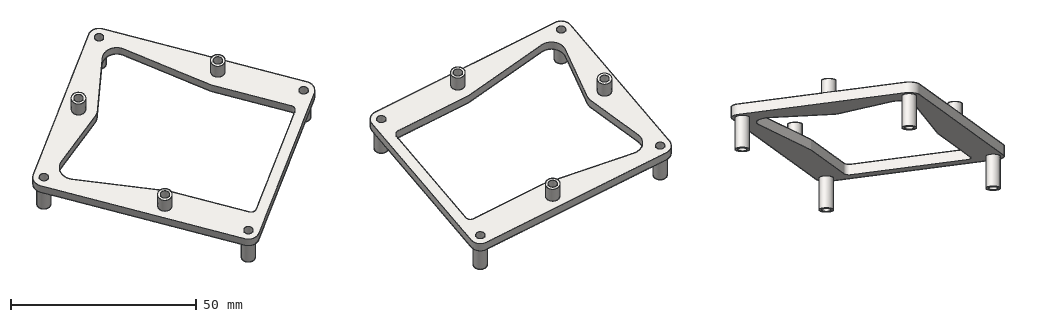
import cadquery as cq

length = 64.0
width = 55.0
thickness = 3.0
corner_radius = 3.0

post_diameter = 4.0
bore_diameter = 2.5
leg_height = 9.0
standoff_height = 5.0
leg_inset = corner_radius
side_standoff_x = 5.0
side_standoff_inset = 4.0
end_standoff_inset = 5.0

window_right_x = 28.85
window_half_width = 18.55
window_bend_x = 4.7
window_left_corner = (-27.45, 23.75)
window_waist_x = -21.75
left_corner_radius = 4.0
right_corner_radius = 1.5

leg_x = length / 2 - leg_inset
leg_y = width / 2 - leg_inset
leg_points = [(x, y) for x in (-leg_x, leg_x) for y in (-leg_y, leg_y)]

side_standoff_y = width / 2 - side_standoff_inset
standoff_points = [
    (side_standoff_x, side_standoff_y),
    (side_standoff_x, -side_standoff_y),
    (end_standoff_inset - length / 2, 0),
]


def make_cylinders(points, diameter, bottom, height):
    """Upright cylinders of equal size standing at the given points."""
    plane = cq.Workplane("XY").workplane(offset=bottom)
    return plane.pushPoints(points).circle(diameter / 2).extrude(height)


def make_window():
    """Cutter for the opening, pinched inward beside the end standoff."""
    left_x, left_y = window_left_corner
    outline = [
        (window_right_x, window_half_width),
        (window_bend_x, window_half_width),
        (left_x, left_y),
        (window_waist_x, 0),
        (left_x, -left_y),
        (window_bend_x, -window_half_width),
        (window_right_x, -window_half_width),
    ]
    window = cq.Workplane("XY").polyline(outline).close().extrude(thickness)
    window = window.edges("|Z and >X").fillet(right_corner_radius)
    margin = thickness
    left_edges = cq.selectors.BoxSelector(
        (left_x - margin, -left_y - margin, 0),
        (window_waist_x + margin, left_y + margin, thickness),
    )
    return window.edges("|Z").edges(left_edges).fillet(left_corner_radius)


plate = cq.Workplane("XY").box(length, width, thickness, centered=(True, True, False))
plate = plate.edges("|Z").fillet(corner_radius).cut(make_window())

legs = make_cylinders(leg_points, post_diameter, -leg_height, leg_height)
standoffs = make_cylinders(standoff_points, post_diameter, thickness, standoff_height)

leg_bores = make_cylinders(leg_points, bore_diameter, -leg_height, leg_height + thickness)
standoff_bores = make_cylinders(standoff_points, bore_diameter, thickness, standoff_height)

result = plate.union(legs).union(standoffs).cut(leg_bores).cut(standoff_bores)